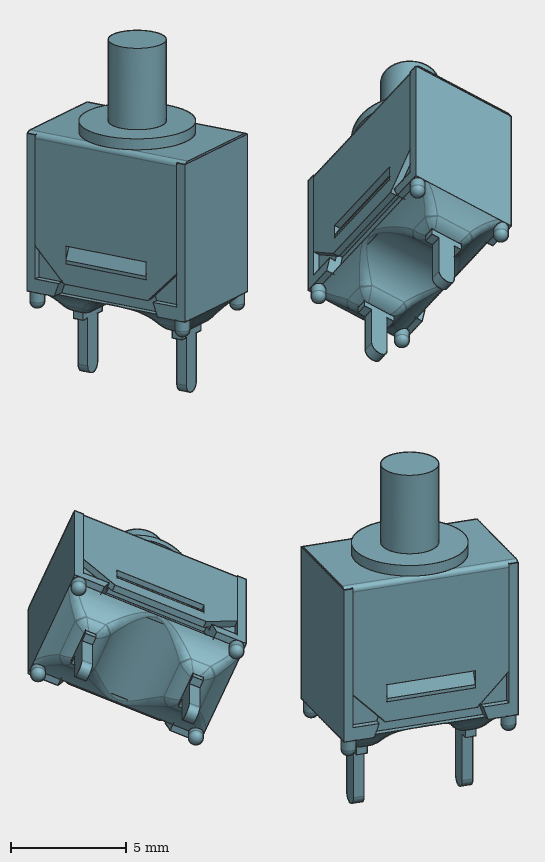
import cadquery as cq
import math

length = 8.13
depth = 5.08
cover_top = 7.3
top_plate = 0.1

post_width = 0.42
panel_thickness = 0.3
bend_radius = 0.25
panel_bottom = 0.65
panel_bevel = 1.49

window_width = 4.13
window_bottom = 1.6
window_top = 2.41
tooth_lip = 0.15

pocket_floor = 0.63
notch_depth = 0.6
notch_bottom_width = 5.32
notch_top_width = 4.63
notch_height = 0.94

base_drop = 1.24
base_edge_drop = 0.81
base_top_depth = 4.47
base_edge_depth = 2.47
base_bottom_depth = 0.88
lobe_edge = 3.32
arch_radius = 2.08
arch_crown = 0.02
corner_radius = 0.47

standoff_diameter = 0.65
standoff_straight = 0.47

plunger_diameter = 2.53
flange_diameter = 5.08
flange_thickness = 0.5
total_height = 15.64

pin_tip = -4.11
pin_spacing = 5.08
pin_thickness = 0.5
pin_width = 0.81
shoulder_width = 1.56
shoulder_bottom = -1.52

housing_top = cover_top - top_plate
panel_span = length - 2 * post_width
panel_face = depth / 2
core_face = panel_face - panel_thickness
actuator_top = total_height + pin_tip
pin_x = pin_spacing / 2
arch_rise = base_edge_drop - arch_crown
arch_edge = math.sqrt(arch_rise * (2 * arch_radius - arch_rise))


def block(size_x, size_y, bottom, top):
    """Box centred on the Z axis between two heights."""
    return cq.Workplane("XY").workplane(offset=bottom).rect(size_x, size_y).extrude(top - bottom)


def both_faces(feature):
    """A feature made on the -Y face, together with its mirror on the +Y face."""
    return feature.union(feature.mirror("XZ"))


def base_side_profile():
    """Flared and rounded section of the base, extruded along the whole length."""
    half_section = (
        cq.Workplane("YZ")
        .moveTo(0, -base_drop)
        .lineTo(base_bottom_depth / 2, -base_drop)
        .tangentArcPoint((base_edge_depth / 2, -base_edge_drop), relative=False)
        .tangentArcPoint((base_top_depth / 2, 0), relative=False)
        .lineTo(0, 0)
        .close()
        .extrude(length / 2, both=True)
    )
    return half_section.union(half_section.mirror("XZ"))


def base_front_profile():
    """Half of the arch, the rounded lobe at -X and its flared end, extruded along the whole depth."""
    return (
        cq.Workplane("XZ")
        .moveTo(0, -arch_crown)
        .radiusArc((-arch_edge, -base_edge_drop), -arch_radius)
        .tangentArcPoint((-lobe_edge, -base_edge_drop), relative=False)
        .tangentArcPoint((-length / 2, 0), relative=False)
        .lineTo(0, 0)
        .close()
        .extrude(depth / 2, both=True)
    )


def make_base():
    """Two mirrored lobes, with their four outer corners rounded."""
    lobe = base_front_profile().intersect(base_side_profile())
    outer_corners = cq.selectors.BoxSelector(
        (-length, -depth, -base_drop), (-pin_x, depth, -arch_crown)
    )
    corners = [edge for edge in lobe.edges(outer_corners).vals() if edge.geomType() == "BSPLINE"]
    lobe = lobe.newObject(corners).fillet(corner_radius)
    return lobe.union(lobe.mirror("YZ"))


def make_standoffs():
    """Round feet with hemispherical ends, one under each corner."""
    radius = standoff_diameter / 2
    spacing_x = length - standoff_diameter
    spacing_y = depth - standoff_diameter
    places = cq.Workplane("XY").rect(spacing_x, spacing_y, forConstruction=True).vertices()
    feet = places.circle(radius).extrude(-standoff_straight)
    domes = places.sphere(radius).translate((0, 0, -standoff_straight))
    return feet.union(domes)


def make_teeth():
    """Wedges that rise from the core to the panel face, with a short flat front."""
    tooth = (
        cq.Workplane("YZ")
        .moveTo(-core_face, window_top)
        .lineTo(-panel_face, window_bottom + tooth_lip)
        .lineTo(-panel_face, window_bottom)
        .lineTo(-core_face, window_bottom)
        .close()
        .extrude(window_width / 2, both=True)
    )
    return both_faces(tooth)


def make_notches():
    """Openings through the lower bar of each frame, widening downwards."""
    notch = (
        cq.Workplane("XZ", origin=(0, notch_depth - depth / 2, 0))
        .moveTo(-notch_bottom_width / 2, 0)
        .lineTo(-notch_top_width / 2, notch_height)
        .lineTo(notch_top_width / 2, notch_height)
        .lineTo(notch_bottom_width / 2, 0)
        .close()
        .extrude(notch_depth)
    )
    return both_faces(notch)


def make_housing(pins):
    """Solid housing with recessed faces, latch teeth, base and feet, pierced by the pins."""
    shell = block(length, depth, 0, housing_top)
    recess = block(panel_span, depth, pocket_floor, housing_top)
    recess = recess.cut(block(panel_span, 2 * core_face, pocket_floor, housing_top))
    shell = shell.cut(recess).cut(make_notches()).union(make_teeth())
    housing = shell.union(make_base()).union(make_standoffs())
    for pin in pins:
        housing = housing.cut(pin)
    return housing


def make_cover():
    """Bent cover: a top plate with one bevelled panel down each side."""
    blank = block(length, depth, panel_bottom, cover_top)
    blank = blank.faces(">Z").edges("|X").fillet(bend_radius)
    panels = block(panel_span, depth, panel_bottom, housing_top)
    panels = panels.edges("|Y and <Z").chamfer(panel_bevel)
    panels = panels.cut(block(length, 2 * core_face, panel_bottom, housing_top))
    plate = block(length, depth, housing_top, cover_top)
    windows = block(window_width, depth, window_bottom, window_top)
    return blank.intersect(panels.union(plate)).cut(windows)


def make_actuator():
    """Round plunger with the wide flange that rests on the cover."""
    seat = cq.Workplane("XY").workplane(offset=cover_top)
    flange = seat.circle(flange_diameter / 2).extrude(flange_thickness)
    plunger = seat.circle(plunger_diameter / 2).extrude(actuator_top - cover_top)
    return flange.union(plunger)


def make_pin(x):
    """Flat pin with a full-round tip and a wider shoulder set into the base."""
    half = pin_width / 2
    return (
        cq.Workplane("YZ", origin=(x, 0, 0))
        .moveTo(-shoulder_width / 2, 0)
        .lineTo(-shoulder_width / 2, shoulder_bottom)
        .lineTo(-half, shoulder_bottom)
        .lineTo(-half, pin_tip + half)
        .threePointArc((0, pin_tip), (half, pin_tip + half))
        .lineTo(half, shoulder_bottom)
        .lineTo(shoulder_width / 2, shoulder_bottom)
        .lineTo(shoulder_width / 2, 0)
        .close()
        .extrude(pin_thickness / 2, both=True)
    )


pins = [make_pin(x) for x in (-pin_x, pin_x)]
housing = make_housing(pins)
cover = make_cover()
actuator = make_actuator()

result = cq.Compound.makeCompound([housing.val(), cover.val(), actuator.val(), *[pin.val() for pin in pins]])